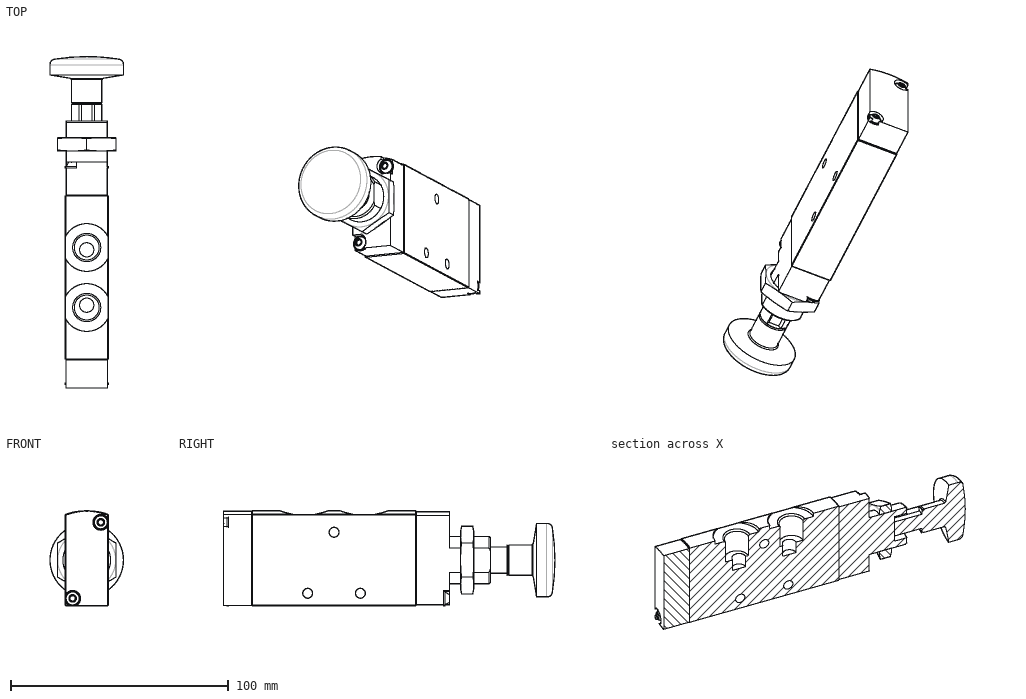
import cadquery as cq
import math


BODY_WIDTH = 19.8
BODY_HEIGHT = 43.7
CROWN_RISE = 1.7
BODY_LENGTH = 75.7
BODY_CHAMFER = 0.3
BODY_END_CHAMFER = 0.5
FRONT_CAP_LENGTH = 13.0
REAR_CAP_LENGTH = 15.2
BODY_FRONT = FRONT_CAP_LENGTH
BODY_REAR = BODY_FRONT + BODY_LENGTH
BODY_MIDDLE = (BODY_FRONT + BODY_REAR) / 2
CAP_REAR = BODY_REAR + REAR_CAP_LENGTH
BEVEL_ANGLE = 45

PORT_SPACING = 27.5
PORT_DIAMETER = 11.4
PORT_MOUTH_DIAMETER = 13.0
PORT_DEPTH = 12.2
PORT_SEAT_DIAMETER = 22.0
PORT_SEAT_HEIGHT = 41.9
FEED_DIAMETER = 6.5
FEED_DEPTH = 6.1
FEED_OFFSET = 1.0

MOUNT_DIAMETER = 4.4
MOUNT_SPACING = 24.2
MOUNT_LOW = 5.8
MOUNT_HIGH = 33.8

FRONT_CAP_SIDE_INSET = 0.3
FRONT_CAP_HEIGHT_INSET = 0.2
REAR_CAP_INSET = 0.5
REAR_CAP_WIDTH = BODY_WIDTH - 2 * REAR_CAP_INSET

FLANGE_DIAMETER = 6.9
FLANGE_THICKNESS = 0.6
HEAD_DIAMETER = 6.0
HEAD_TOP_DIAMETER = 3.5
SOCKET_DIAMETER = 2.5
SOCKET_MOUTH_DIAMETER = 2.9
SOCKET_DEPTH = 0.9
SCREW_POCKET_DIAMETER = 7.3
FRONT_POCKET_DEPTH = 2.3
REAR_POCKET_DEPTH = 2.7
SCREW_X = (BODY_WIDTH - FLANGE_DIAMETER) / 2
SCREW_LOW = FLANGE_DIAMETER / 2
SCREW_HIGH = 38.4
CORNER_OPENING = 1.7

AXIS_HEIGHT = 21.0
NECK_DIAMETER = 22.0
NECK_LENGTH = 18.9
NECK_CHAMFER = 0.8
NECK_REAR = CAP_REAR + NECK_LENGTH
STEM_ENGAGEMENT = 6.1

NUT_ACROSS_FLATS = 27.0
NUT_THICKNESS = 6.1
NUT_CHAMFER = 0.5
HEXAGON_TURN = 30
NUT_CHAMFER_DIAMETER = 26.7
NUT_STANDOFF = 5.0
NUT_FRONT = CAP_REAR + NUT_STANDOFF

KNOB_DIAMETER = 33.8
KNOB_REAR = 152.3
KNOB_DOME_DIAMETER = 29.8
KNOB_DOME_Y = 151.0
KNOB_SHOULDER_Y = 148.3
KNOB_RIM_Y = 143.8
KNOB_ROOT_Y = 142.2
STEM_DIAMETER = 14.0
STEM_ROOT_CHAMFER = 0.6
STEM_FRONT = NECK_REAR - STEM_ENGAGEMENT
GROOVE_DIAMETER = 13.0
GROOVE_WIDTH = 0.9
SLOT_REAR = 130.2
SLOT_FLOOR = 4.3
SLOT_HALF_ANGLE = 30.0


def facing_front(y):
    """Plane across Y whose normal points to the front."""
    return cq.Plane(origin=(0, y, 0), xDir=(1, 0, 0), normal=(0, -1, 0))


def facing_rear(y):
    """Plane across Y whose normal points to the rear, with Z still its second axis."""
    return cq.Plane(origin=(0, y, 0), xDir=(-1, 0, 0), normal=(0, 1, 0))


def arched_block(plane, length, side_inset=0.0, height_inset=0.0):
    """Upright block with an arched top, set in from the body outline and extruded from the plane."""
    half_width = BODY_WIDTH / 2 - side_inset
    top = BODY_HEIGHT - height_inset
    return (
        cq.Workplane(plane)
        .moveTo(-half_width, height_inset)
        .lineTo(half_width, height_inset)
        .lineTo(half_width, top - CROWN_RISE)
        .threePointArc((0, top), (-half_width, top - CROWN_RISE))
        .close()
        .extrude(length)
    )


def vertical_cylinder(y, diameter, top, depth):
    return cq.Workplane("XY", origin=(0, y, top)).circle(diameter / 2).extrude(-depth)


def port(y, toward_middle):
    """Flat seat, bevelled threaded bore and offset feed hole of one port."""
    seat = vertical_cylinder(y, PORT_SEAT_DIAMETER, BODY_HEIGHT, BODY_HEIGHT - PORT_SEAT_HEIGHT)
    bore = vertical_cylinder(y, PORT_DIAMETER, PORT_SEAT_HEIGHT, PORT_DEPTH)
    bevel_depth = (PORT_MOUTH_DIAMETER - PORT_DIAMETER) / 2
    bevel = (
        cq.Workplane("XY", origin=(0, y, PORT_SEAT_HEIGHT))
        .circle(PORT_MOUTH_DIAMETER / 2)
        .extrude(-bevel_depth, taper=BEVEL_ANGLE)
    )
    feed_y = y + toward_middle * FEED_OFFSET
    feed = vertical_cylinder(feed_y, FEED_DIAMETER, PORT_SEAT_HEIGHT - PORT_DEPTH, FEED_DEPTH)
    return seat.union(bore).union(bevel).union(feed)


def make_body():
    body = arched_block(facing_rear(BODY_FRONT), BODY_LENGTH)
    body = body.edges("|Y").chamfer(BODY_CHAMFER)
    body = body.faces("<Y or >Y").chamfer(BODY_END_CHAMFER)
    for side in (-1, 1):
        body = body.cut(port(BODY_MIDDLE + side * PORT_SPACING / 2, -side))
    mounts = (
        cq.Workplane("YZ", origin=(-BODY_WIDTH / 2, 0, 0))
        .pushPoints([
            (BODY_MIDDLE, MOUNT_HIGH),
            (BODY_MIDDLE - MOUNT_SPACING / 2, MOUNT_LOW),
            (BODY_MIDDLE + MOUNT_SPACING / 2, MOUNT_LOW),
        ])
        .circle(MOUNT_DIAMETER / 2)
        .extrude(BODY_WIDTH)
    )
    return body.cut(mounts)


def screw_head(plane, center, height):
    """Round flange with a tapered, socketed head, standing on the plane and as high as given."""
    head_height = height - FLANGE_THICKNESS
    flange = cq.Workplane(plane).center(*center).circle(FLANGE_DIAMETER / 2).extrude(FLANGE_THICKNESS)
    head_taper = math.degrees(math.atan((HEAD_DIAMETER - HEAD_TOP_DIAMETER) / 2 / head_height))
    head = (
        cq.Workplane(plane)
        .workplane(offset=FLANGE_THICKNESS)
        .center(*center)
        .circle(HEAD_DIAMETER / 2)
        .extrude(head_height, taper=head_taper)
    )
    top = cq.Workplane(plane).workplane(offset=height).center(*center)
    socket = top.circle(SOCKET_DIAMETER / 2).extrude(-SOCKET_DEPTH)
    bevel_depth = (SOCKET_MOUTH_DIAMETER - SOCKET_DIAMETER) / 2
    bevel = top.circle(SOCKET_MOUTH_DIAMETER / 2).extrude(-bevel_depth, taper=BEVEL_ANGLE)
    return flange.union(head).cut(socket).cut(bevel)


def add_screws(cap, floor, depth):
    """Sink two pockets to the floor plane, at diagonally opposite corners, and put a screw head in each."""
    for center in ((SCREW_X, SCREW_HIGH), (-SCREW_X, SCREW_LOW)):
        pocket = cq.Workplane(floor).center(*center).circle(SCREW_POCKET_DIAMETER / 2).extrude(depth)
        cap = cap.cut(pocket).union(screw_head(floor, center, depth))
    return cap


def open_rear_corners(cap):
    """Open the two rear screw pockets to the cap's outer corners."""
    reach = SCREW_POCKET_DIAMETER
    floor = facing_rear(CAP_REAR - REAR_POCKET_DEPTH)
    for x_side, z_side, height in ((1, 1, SCREW_HIGH), (-1, -1, SCREW_LOW)):
        inner_x = x_side * (SCREW_X - CORNER_OPENING)
        inner_z = height - z_side * SCREW_POCKET_DIAMETER / 2
        opening = (
            cq.Workplane(floor)
            .center(inner_x + x_side * reach, inner_z + z_side * reach)
            .rect(2 * reach, 2 * reach)
            .extrude(REAR_POCKET_DEPTH)
        )
        cap = cap.cut(opening)
    return cap


def make_front_cap():
    cap = arched_block(
        facing_front(BODY_FRONT),
        FRONT_CAP_LENGTH,
        FRONT_CAP_SIDE_INSET,
        FRONT_CAP_HEIGHT_INSET,
    )
    return add_screws(cap, facing_front(FRONT_POCKET_DEPTH), FRONT_POCKET_DEPTH)


def neck():
    """Threaded neck with a bevelled end and two flats in line with the cap sides."""
    round_neck = (
        cq.Workplane(facing_rear(CAP_REAR))
        .center(0, AXIS_HEIGHT)
        .circle(NECK_DIAMETER / 2)
        .extrude(NECK_LENGTH)
        .faces(">Y")
        .chamfer(NECK_CHAMFER)
    )
    between_flats = (
        cq.Workplane(facing_rear(CAP_REAR))
        .center(0, AXIS_HEIGHT)
        .rect(REAR_CAP_WIDTH, NECK_DIAMETER)
        .extrude(NECK_LENGTH)
    )
    return round_neck.intersect(between_flats)


def make_rear_cap():
    cap = arched_block(facing_rear(BODY_REAR), REAR_CAP_LENGTH, REAR_CAP_INSET, REAR_CAP_INSET)
    cap = open_rear_corners(cap)
    cap = add_screws(cap, facing_rear(CAP_REAR - REAR_POCKET_DEPTH), REAR_POCKET_DEPTH)
    stem_bore = (
        cq.Workplane(facing_rear(STEM_FRONT))
        .center(0, AXIS_HEIGHT)
        .circle(STEM_DIAMETER / 2)
        .extrude(STEM_ENGAGEMENT)
    )
    return cap.union(neck()).cut(stem_bore)


def make_nut():
    """Hexagon nut with corners at top and bottom and bevelled corners on both faces."""
    corner_radius = NUT_ACROSS_FLATS / math.sqrt(3)
    hexagon = (
        cq.Workplane(facing_rear(NUT_FRONT))
        .center(0, AXIS_HEIGHT)
        .polygon(6, 2 * corner_radius)
        .extrude(NUT_THICKNESS)
        .rotate((0, 0, AXIS_HEIGHT), (0, 1, AXIS_HEIGHT), HEXAGON_TURN)
    )
    nut_rear = NUT_FRONT + NUT_THICKNESS
    bevelled = (
        cq.Workplane("XY")
        .moveTo(0, NUT_FRONT)
        .lineTo(NUT_CHAMFER_DIAMETER / 2, NUT_FRONT)
        .lineTo(corner_radius, NUT_FRONT + NUT_CHAMFER)
        .lineTo(corner_radius, nut_rear - NUT_CHAMFER)
        .lineTo(NUT_CHAMFER_DIAMETER / 2, nut_rear)
        .lineTo(0, nut_rear)
        .close()
        .revolve(360, (0, 0), (0, 1))
        .translate((0, 0, AXIS_HEIGHT))
    )
    thread = (
        cq.Workplane(facing_rear(NUT_FRONT))
        .center(0, AXIS_HEIGHT)
        .circle(NECK_DIAMETER / 2)
        .extrude(NUT_THICKNESS)
    )
    return hexagon.intersect(bevelled).cut(thread)


def stem_slot():
    """Flat-bottomed slot along the top of the stem, with radial walls."""
    spread = math.tan(math.radians(SLOT_HALF_ANGLE))
    outer = STEM_DIAMETER / 2
    return (
        cq.Workplane(facing_rear(STEM_FRONT))
        .moveTo(-SLOT_FLOOR * spread, AXIS_HEIGHT + SLOT_FLOOR)
        .lineTo(SLOT_FLOOR * spread, AXIS_HEIGHT + SLOT_FLOOR)
        .lineTo(outer * spread, AXIS_HEIGHT + outer)
        .lineTo(-outer * spread, AXIS_HEIGHT + outer)
        .close()
        .extrude(SLOT_REAR - STEM_FRONT)
    )


def make_knob():
    """Mushroom knob with its stem, slotted above and below where it enters the neck."""
    stem_radius = STEM_DIAMETER / 2
    dome_rise = KNOB_REAR - KNOB_DOME_Y
    shoulder_mid = (
        KNOB_DOME_DIAMETER / 2 + (KNOB_DIAMETER - KNOB_DOME_DIAMETER) / 2 * math.sin(math.pi / 4),
        KNOB_SHOULDER_Y + (KNOB_DOME_Y - KNOB_SHOULDER_Y) * math.sin(math.pi / 4),
    )
    dome_radius = ((KNOB_DOME_DIAMETER / 2) ** 2 + dome_rise**2) / (2 * dome_rise)
    dome_mid_x = KNOB_DOME_DIAMETER / 4
    dome_mid = (dome_mid_x, KNOB_REAR - dome_radius + math.sqrt(dome_radius**2 - dome_mid_x**2))
    knob = (
        cq.Workplane("XY")
        .moveTo(0, STEM_FRONT)
        .lineTo(stem_radius, STEM_FRONT)
        .lineTo(stem_radius, SLOT_REAR)
        .lineTo(GROOVE_DIAMETER / 2, SLOT_REAR + GROOVE_WIDTH / 2)
        .lineTo(stem_radius, SLOT_REAR + GROOVE_WIDTH)
        .lineTo(stem_radius, KNOB_ROOT_Y - STEM_ROOT_CHAMFER)
        .lineTo(stem_radius + STEM_ROOT_CHAMFER, KNOB_ROOT_Y)
        .lineTo(KNOB_DIAMETER / 2, KNOB_RIM_Y)
        .lineTo(KNOB_DIAMETER / 2, KNOB_SHOULDER_Y)
        .threePointArc(shoulder_mid, (KNOB_DOME_DIAMETER / 2, KNOB_DOME_Y))
        .threePointArc(dome_mid, (0, KNOB_REAR))
        .close()
        .revolve(360, (0, 0), (0, 1))
        .translate((0, 0, AXIS_HEIGHT))
    )
    axis_start = (0, 0, AXIS_HEIGHT)
    axis_end = (0, 1, AXIS_HEIGHT)
    for angle in (0, 180):
        knob = knob.cut(stem_slot().rotate(axis_start, axis_end, angle))
    return knob


body = make_body()
front_cap = make_front_cap()
rear_cap = make_rear_cap()
nut = make_nut()
knob = make_knob()

result = cq.Compound.makeCompound([
    body.solids().val(),
    front_cap.solids().val(),
    rear_cap.solids().val(),
    nut.solids().val(),
    knob.solids().val(),
])